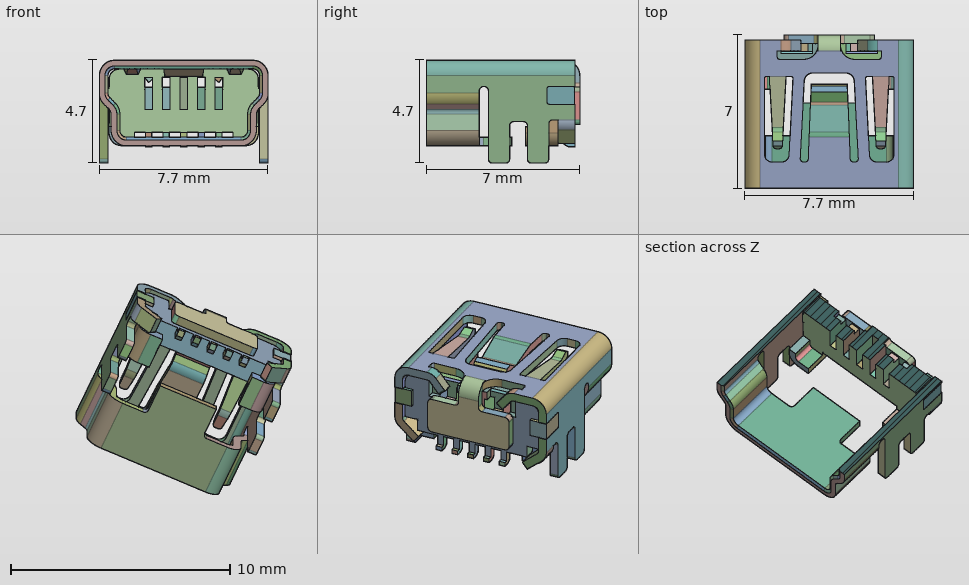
import cadquery as cq
import math

WIDTH = 7.7
HEIGHT = 4.7
SHELL_DEPTH = 6.775
TOTAL_DEPTH = 7.0
SHEET = 0.4

half_width = WIDTH / 2
wall_inner_x = half_width - SHEET
top_inner_z = HEIGHT - SHEET

CORNER_R = 0.7
CORNER_INNER_R = CORNER_R - SHEET
JOG = 0.54
JOG_ANGLE = 45.0
JOG_Z = 2.9
SHELL_BOTTOM = 0.79
MOUTH_DEPTH = 2.41
LIP_CHAMFER_WIDTH = 0.14
LIP_CHAMFER_DEPTH = 0.08

TAIL_HALF_WIDTH = 1.4
TAIL_END = 3.9
BEND_R = 0.185

SIDE_SLOT_WIDTH = 0.41
SIDE_SLOT_TOP = 3.495
LEG_WIDTH = 0.98
LEG_GAP = 0.8
LEG_GAP_TOP = 1.895
WALL_BOTTOM = 1.98
leg_front = MOUTH_DEPTH + SIDE_SLOT_WIDTH
leg_front_end = leg_front + LEG_WIDTH
leg_rear = leg_front_end + LEG_GAP
leg_rear_end = leg_rear + LEG_WIDTH

FOLD_ANGLE = 50.0
FOLD_R = 0.6
EAR_ROOT_X = 2.21
EAR_FRONT = 6.275
EAR_FLAT = 0.715
WALL_FOLD_FRONT = 6.005
WALL_FOLD_FLAT = 0.98
FOLD_CORNER_R = 0.08

NECK_HALF_WIDTH = 0.51
TAB_HALF_WIDTH = 2.06
TAB_TOP = 3.47
TAB_BOTTOM = 1.76
TAB_CORNER_R = 0.215
tab_inner_y = TOTAL_DEPTH - SHEET
RELIEF_HALF_WIDTH = 2.37
RELIEF_FRONT = 5.88
RELIEF_CORNER_R = 0.115
NECK_FLARE_R = 0.66

OPENING_FRONT = 1.2
CENTER_BACK = 5.26
CENTER_CORNER_R = 0.385
CENTER_FRONT_HALF = 1.33
CENTER_BACK_HALF = 1.12
SIDE_OPENING_BACK = 5.1
SIDE_OPENING_OUTER_X = 2.95
SIDE_OPENING_BACK_X = 1.655
SIDE_OPENING_FRONT_X = 1.85
SIDE_OPENING_FRONT_R = 0.355
SIDE_OPENING_BACK_R = 0.06

SPRING_ROOT_HALF = 0.96
SPRING_TIP_HALF = 0.825
SPRING_TIP = 4.75
SLOT_END_R = 0.155
SPRING_BEND_Y = 2.46
SPRING_VALLEY = (3.87, top_inner_z)
SPRING_RIDGE = (4.39, 4.62)
SPRING_TIP_Z = 4.41
SPRING_TIP_BREAK = (4.67, 4.535)
SPRING_ROOT_BEND_R = 0.82
SPRING_VALLEY_BEND_R = 0.17

LATCH_CENTER_X = 2.35
LATCH_ROOT_HALF = 0.385
LATCH_TIP_HALF = 0.21
LATCH_TIP = 1.81
LATCH_TIP_R = 0.155
LATCH_VALLEY = (2.67, 4.42)
LATCH_RIDGE = (2.16, 4.605)
LATCH_TIP_BREAK = (1.925, 4.5)
LATCH_TIP_Z = 4.3
LATCH_BEND_R = 0.48

BODY_HALF_WIDTH = 3.4
BODY_TOP_R = 0.46
BODY_BOTTOM_R = 0.58
BODY_FRONT = 5.5
ARM_FRONT = 4.51
ARM_TOP = 1.67
WINDOW_HALF_WIDTH = 2.24
WINDOW_TOP = 1.41
EAR_POCKET_INNER_X = 0.755
EAR_POCKET_OUTER_X = 2.195
EAR_POCKET_FRONT = 6.25
EAR_POCKET_CHAMFER = 0.09
EAR_POCKET_FLOOR = 3.36
FOLD_POCKET_X = 2.77
LUG_BACK = 6.745
LUG_BOTTOM = 2.69
LUG_TOP = 3.495
LUG_CORNER_R = 0.09
LUG_INSET = 0.01

CONTACT_COUNT = 5
CONTACT_PITCH = 0.8
CONTACT_WIDTH = 0.3
CONTACT_FRONT = 6.275
CONTACT_HEEL = 6.47
CONTACT_HEEL_Z = 0.855
CONTACT_FOOT_BOTTOM = 0.75
CONTACT_FOOT_HEIGHT = 0.2
CONTACT_SLOT_WIDTH = 0.35
CONTACT_SLOT_BOTTOM = 2.45
CONTACT_SLOT_TOP = 3.91


def block(x0, x1, y0, y1, z0, z1):
    return cq.Workplane("XY").box(x1 - x0, y1 - y0, z1 - z0, centered=False).translate((x0, y0, z0))


def section(points, y0, y1):
    """Extrude an XZ outline from y0 to y1."""
    return cq.Workplane("XZ", origin=(0, y0, 0)).polyline(points).close().extrude(y0 - y1)


def profile(points, half_length):
    """Extrude a YZ outline to both sides of X = 0."""
    return cq.Workplane("YZ").polyline(points).close().extrude(half_length, both=True)


def plan(points):
    """Extrude an XY outline through the full height."""
    return cq.Workplane("XY").polyline(points).close().extrude(HEIGHT)


def both_sides(solid):
    return solid.union(solid.mirror("YZ"))


def mouth_section(inset, corner_r, jog_concave_r, y1):
    """Solid of the mouth outline moved inward by the given inset."""
    jog_shift = inset * math.tan(math.radians(JOG_ANGLE / 2))
    upper_x = half_width - inset
    lower_x = upper_x - JOG
    upper_z = JOG_Z + jog_shift
    lower_z = upper_z - JOG
    bottom_z = SHELL_BOTTOM + inset
    right = [
        (upper_x, HEIGHT - inset),
        (upper_x, upper_z),
        (lower_x, lower_z),
        (lower_x, bottom_z),
    ]
    left = [(-x, z) for x, z in reversed(right)]
    solid = section(right + left, 0, y1)
    concave = cq.selectors.BoxSelector(
        (-lower_x - 0.08, -0.08, lower_z - 0.08), (lower_x + 0.08, y1 + 0.08, lower_z + 0.08)
    )
    upper = cq.selectors.BoxSelector((-WIDTH, -0.08, upper_z - 0.08), (WIDTH, y1 + 0.08, HEIGHT + 0.08))
    lowest = cq.selectors.BoxSelector((-WIDTH, -0.08, bottom_z - 0.08), (WIDTH, y1 + 0.08, bottom_z + 0.08))
    solid = solid.edges("|Y").edges(concave).fillet(jog_concave_r)
    solid = solid.edges("|Y").edges(upper).fillet(corner_r)
    return solid.edges("|Y").edges(lowest).fillet(corner_r)


def make_mouth():
    outer = mouth_section(0, CORNER_R, CORNER_INNER_R, MOUTH_DEPTH)
    inner = mouth_section(SHEET, CORNER_INNER_R, CORNER_R, MOUTH_DEPTH)
    mouth = outer.cut(inner)
    lip = mouth.faces("<Y").val().innerWires()[0]
    return mouth.newObject(lip.Edges()).chamfer(LIP_CHAMFER_WIDTH, LIP_CHAMFER_DEPTH)


def make_channel():
    """Top sheet and side walls behind the mouth, with two legs per side."""
    channel = block(-half_width, half_width, MOUTH_DEPTH, SHELL_DEPTH, 0, HEIGHT)
    channel = channel.edges("|Y and >Z").fillet(CORNER_R)
    hollow = block(-wall_inner_x, wall_inner_x, MOUTH_DEPTH, SHELL_DEPTH, 0, top_inner_z)
    hollow = hollow.edges("|Y and >Z").fillet(CORNER_INNER_R)
    side = profile([
        (MOUTH_DEPTH, HEIGHT),
        (SHELL_DEPTH, HEIGHT),
        (SHELL_DEPTH, WALL_BOTTOM),
        (leg_rear_end, WALL_BOTTOM),
        (leg_rear_end, 0),
        (leg_rear, 0),
        (leg_rear, LEG_GAP_TOP),
        (leg_front_end, LEG_GAP_TOP),
        (leg_front_end, 0),
        (leg_front, 0),
        (leg_front, JOG_Z),
        (MOUTH_DEPTH, JOG_Z),
    ], half_width)
    leg_zone = cq.selectors.BoxSelector(
        (-WIDTH, 0, -0.08), (WIDTH, SHELL_DEPTH - 0.08, WALL_BOTTOM + 0.08)
    )
    side = side.edges("|X").edges(leg_zone).fillet(BEND_R)
    return channel.cut(hollow).intersect(side)


def make_side_slot():
    radius = SIDE_SLOT_WIDTH / 2
    end_z = SIDE_SLOT_TOP - radius
    slot = block(-half_width, half_width, MOUTH_DEPTH, leg_front, SHELL_BOTTOM + SHEET, end_z)
    round_end = (
        cq.Workplane("YZ")
        .center(MOUTH_DEPTH + radius, end_z)
        .circle(radius)
        .extrude(half_width, both=True)
    )
    return slot.union(round_end)


def make_floor_tail():
    overlap = SHEET
    tail = block(-TAIL_HALF_WIDTH, TAIL_HALF_WIDTH, MOUTH_DEPTH, TAIL_END,
                 SHELL_BOTTOM, SHELL_BOTTOM + SHEET)
    root = block(-WINDOW_HALF_WIDTH, WINDOW_HALF_WIDTH, MOUTH_DEPTH - overlap, MOUTH_DEPTH,
                 SHELL_BOTTOM, SHELL_BOTTOM + SHEET)
    corners = cq.selectors.BoxSelector(
        (-TAIL_HALF_WIDTH - 0.08, MOUTH_DEPTH - 0.08, 0), (TAIL_HALF_WIDTH + 0.08, MOUTH_DEPTH + 0.08, HEIGHT)
    )
    return tail.union(root).edges("|Z").edges(corners).fillet(BEND_R)


def bend_edges(sheet, corner, top_r, bottom_r):
    """Round both faces of a bent YZ sheet at the given top-face corner."""
    y, z = corner
    reach = 0.19
    upper = cq.selectors.BoxSelector((-WIDTH, y - reach, z - 0.08), (WIDTH, y + reach, z + 0.08))
    lower = cq.selectors.BoxSelector((-WIDTH, y - reach, z - SHEET - 0.08), (WIDTH, y + reach, z - SHEET + 0.08))
    return sheet.edges("|X").edges(upper).fillet(top_r).edges("|X").edges(lower).fillet(bottom_r)


def make_center_opening():
    opening = plan([
        (-CENTER_FRONT_HALF, OPENING_FRONT),
        (-CENTER_BACK_HALF, CENTER_BACK),
        (CENTER_BACK_HALF, CENTER_BACK),
        (CENTER_FRONT_HALF, OPENING_FRONT),
    ])
    opening = opening.edges("|Z and >Y").fillet(CENTER_CORNER_R)
    tongue = plan([
        (-SPRING_ROOT_HALF, OPENING_FRONT),
        (-SPRING_TIP_HALF, SPRING_TIP),
        (SPRING_TIP_HALF, SPRING_TIP),
        (SPRING_ROOT_HALF, OPENING_FRONT),
    ])
    opening = opening.cut(tongue).edges("|Z and <Y").fillet(SLOT_END_R)
    return opening.union(tongue), tongue


def make_spring(tongue):
    root = (SPRING_BEND_Y, HEIGHT)
    top = [
        (OPENING_FRONT, HEIGHT),
        root,
        SPRING_VALLEY,
        SPRING_RIDGE,
        SPRING_TIP_BREAK,
        (SPRING_TIP, SPRING_TIP_Z),
    ]
    bottom = [
        (SPRING_TIP, SPRING_TIP_Z - SHEET),
        (SPRING_RIDGE[0], SPRING_RIDGE[1] - SHEET),
        (SPRING_VALLEY[0], SPRING_VALLEY[1] - SHEET),
        (SPRING_BEND_Y, top_inner_z),
        (OPENING_FRONT, top_inner_z),
    ]
    sheet = profile(top + bottom, half_width)
    sheet = bend_edges(sheet, root, SPRING_ROOT_BEND_R, SPRING_ROOT_BEND_R - SHEET)
    sheet = bend_edges(sheet, SPRING_VALLEY, SPRING_VALLEY_BEND_R, SPRING_VALLEY_BEND_R + SHEET)
    return sheet.intersect(tongue)


def make_side_openings():
    opening = plan([
        (SIDE_OPENING_OUTER_X, OPENING_FRONT),
        (SIDE_OPENING_OUTER_X, SIDE_OPENING_BACK),
        (SIDE_OPENING_BACK_X, SIDE_OPENING_BACK),
        (SIDE_OPENING_FRONT_X, OPENING_FRONT),
    ])
    opening = opening.edges("|Z and <Y").fillet(SIDE_OPENING_FRONT_R)
    opening = opening.edges("|Z and >Y").fillet(SIDE_OPENING_BACK_R)
    return both_sides(opening)


def make_latches():
    outline = plan([
        (LATCH_CENTER_X - LATCH_ROOT_HALF, SIDE_OPENING_BACK),
        (LATCH_CENTER_X + LATCH_ROOT_HALF, SIDE_OPENING_BACK),
        (LATCH_CENTER_X + LATCH_TIP_HALF, LATCH_TIP),
        (LATCH_CENTER_X - LATCH_TIP_HALF, LATCH_TIP),
    ])
    outline = outline.edges("|Z and <Y").fillet(LATCH_TIP_R)
    valley_y, valley_z = LATCH_VALLEY
    bent = profile([
        (SIDE_OPENING_BACK, HEIGHT),
        LATCH_VALLEY,
        LATCH_RIDGE,
        LATCH_TIP_BREAK,
        (LATCH_TIP, LATCH_TIP_Z),
        (valley_y, valley_z - SHEET),
        (SIDE_OPENING_BACK, top_inner_z),
    ], half_width)
    bent = bend_edges(bent, LATCH_VALLEY, LATCH_BEND_R, LATCH_BEND_R + SHEET)
    return both_sides(outline.intersect(bent))


def make_fold(flat, length, rounded_end):
    """Sheet leaving the origin along +X, bending toward -Z, then running flat.

    It extends along +Y; the tip corner at Y = rounded_end is rounded.
    """
    angle = math.radians(FOLD_ANGLE)
    inner_r = FOLD_R - SHEET

    def on_bend(radius, turn):
        return (radius * math.sin(turn), radius * math.cos(turn) - FOLD_R)

    def flat_end(start):
        return (start[0] + flat * math.cos(angle), start[1] - flat * math.sin(angle))

    outer_bend = on_bend(FOLD_R, angle)
    inner_bend = on_bend(inner_r, angle)
    outer_tip = flat_end(outer_bend)
    inner_tip = flat_end(inner_bend)
    fold = (
        cq.Workplane("XZ")
        .moveTo(0, 0)
        .threePointArc(on_bend(FOLD_R, angle / 2), outer_bend)
        .lineTo(*outer_tip)
        .lineTo(*inner_tip)
        .lineTo(*inner_bend)
        .threePointArc(on_bend(inner_r, angle / 2), on_bend(inner_r, 0))
        .close()
        .extrude(-length)
    )
    tip_x = (outer_tip[0] + inner_tip[0]) / 2
    tip_z = (outer_tip[1] + inner_tip[1]) / 2
    tip_edge = cq.selectors.BoxSelector(
        (tip_x - 0.08, rounded_end - 0.08, tip_z - 0.08), (tip_x + 0.08, rounded_end + 0.08, tip_z + 0.08)
    )
    return fold.edges(tip_edge).fillet(FOLD_CORNER_R)


def make_ears():
    length = SHELL_DEPTH - EAR_FRONT
    ear = make_fold(EAR_FLAT, length, length).mirror("YZ")
    return both_sides(ear.translate((EAR_ROOT_X, EAR_FRONT, HEIGHT)))


def make_wall_folds():
    fold = make_fold(WALL_FOLD_FLAT, SHELL_DEPTH - WALL_FOLD_FRONT, 0)
    fold = fold.rotate((0, 0, 0), (0, 1, 0), 90)
    return both_sides(fold.translate((half_width, WALL_FOLD_FRONT, WALL_BOTTOM)))


def make_top_relief():
    """Opening around the neck that frees the ears and the rear tab."""
    front = block(NECK_HALF_WIDTH, RELIEF_HALF_WIDTH, RELIEF_FRONT, EAR_FRONT, top_inner_z, HEIGHT)
    front = front.edges("|Z and <Y and >X").fillet(RELIEF_CORNER_R)
    back_start = RELIEF_FRONT + RELIEF_CORNER_R
    back = block(NECK_HALF_WIDTH, EAR_ROOT_X, back_start, SHELL_DEPTH, top_inner_z, HEIGHT)
    relief = both_sides(front.union(back).edges("|Z and <X and <Y").fillet(NECK_FLARE_R))
    neck_end = block(-NECK_HALF_WIDTH, NECK_HALF_WIDTH, EAR_FRONT, SHELL_DEPTH, top_inner_z, HEIGHT)
    return relief.union(neck_end)


def make_rear_tab():
    bend_r = TOTAL_DEPTH - EAR_FRONT
    bend = block(-half_width, half_width, RELIEF_FRONT, TOTAL_DEPTH, TAB_BOTTOM, HEIGHT)
    bend = bend.edges("|X and >Y and >Z").fillet(bend_r)
    hollow = block(-half_width, half_width, RELIEF_FRONT, tab_inner_y, TAB_BOTTOM, top_inner_z)
    hollow = hollow.edges("|X and >Y and >Z").fillet(bend_r - SHEET)
    plate = block(-TAB_HALF_WIDTH, TAB_HALF_WIDTH, EAR_FRONT, TOTAL_DEPTH, TAB_BOTTOM, TAB_TOP)
    plate = plate.edges("|Y").fillet(TAB_CORNER_R)
    neck = block(-NECK_HALF_WIDTH, NECK_HALF_WIDTH, EAR_FRONT, TOTAL_DEPTH, TAB_TOP, HEIGHT)
    shoulder = cq.selectors.BoxSelector(
        (-NECK_HALF_WIDTH - 0.08, 0, TAB_TOP - 0.08), (NECK_HALF_WIDTH + 0.08, WIDTH, TAB_TOP + 0.08)
    )
    outline = plate.union(neck).edges("|Y").edges(shoulder).fillet(BEND_R)
    return bend.cut(hollow).intersect(outline)


def contact_positions():
    first = -(CONTACT_COUNT - 1) / 2 * CONTACT_PITCH
    return [first + i * CONTACT_PITCH for i in range(CONTACT_COUNT)]


def make_body():
    body = block(-BODY_HALF_WIDTH, BODY_HALF_WIDTH, ARM_FRONT, tab_inner_y, SHELL_BOTTOM, top_inner_z)
    body = body.edges("|Y and >Z").fillet(BODY_TOP_R)
    body = body.edges("|Y and <Z").fillet(BODY_BOTTOM_R)
    body = body.cut(block(-half_width, half_width, ARM_FRONT, BODY_FRONT, ARM_TOP, HEIGHT))
    arm_inner_x = BODY_HALF_WIDTH - SHEET
    between_arms = block(-arm_inner_x, arm_inner_x, ARM_FRONT, BODY_FRONT, SHELL_BOTTOM + SHEET, HEIGHT)
    body = body.cut(between_arms.edges("|Y and <Z").fillet(BODY_BOTTOM_R - SHEET))
    body = body.cut(block(-WINDOW_HALF_WIDTH, WINDOW_HALF_WIDTH, ARM_FRONT, TOTAL_DEPTH, 0, WINDOW_TOP))
    body = body.cut(block(-half_width, half_width, WALL_FOLD_FRONT, TOTAL_DEPTH, 0, WINDOW_TOP))
    fold_pocket = block(FOLD_POCKET_X, half_width, WALL_FOLD_FRONT, TOTAL_DEPTH, 0, WALL_BOTTOM)
    body = body.cut(both_sides(fold_pocket))
    ear_pocket = profile([
        (EAR_POCKET_FRONT - EAR_POCKET_CHAMFER, top_inner_z),
        (EAR_POCKET_FRONT, top_inner_z - EAR_POCKET_CHAMFER),
        (EAR_POCKET_FRONT, EAR_POCKET_FLOOR),
        (tab_inner_y, EAR_POCKET_FLOOR),
        (tab_inner_y, top_inner_z),
    ], EAR_POCKET_OUTER_X)
    center_web = block(-EAR_POCKET_INNER_X, EAR_POCKET_INNER_X, BODY_FRONT, TOTAL_DEPTH, 0, HEIGHT)
    body = body.cut(ear_pocket.cut(center_web))
    half_slot = CONTACT_SLOT_WIDTH / 2
    for x in contact_positions():
        body = body.cut(block(x - half_slot, x + half_slot, BODY_FRONT, tab_inner_y,
                              CONTACT_SLOT_BOTTOM, CONTACT_SLOT_TOP))
    return body


def make_contacts():
    foot_top = CONTACT_FOOT_BOTTOM + CONTACT_FOOT_HEIGHT
    contact = profile([
        (CONTACT_FRONT, WINDOW_TOP),
        (CONTACT_FRONT, CONTACT_HEEL_Z),
        (CONTACT_HEEL, CONTACT_FOOT_BOTTOM),
        (SHELL_DEPTH, CONTACT_FOOT_BOTTOM),
        (SHELL_DEPTH, foot_top),
        (tab_inner_y, foot_top),
        (tab_inner_y, WINDOW_TOP),
    ], CONTACT_WIDTH / 2)
    return [contact.translate((x, 0, 0)) for x in contact_positions()]


def make_lug(x1, y1):
    """Block from inside the body side out to x1, with its front corners rounded."""
    lug = block(BODY_HALF_WIDTH - SHEET, x1, BODY_FRONT, y1, LUG_BOTTOM, LUG_TOP)
    return lug.edges("|X and <Y").fillet(LUG_CORNER_R)


center_opening, spring_outline = make_center_opening()
shell = make_mouth().union(make_channel()).union(make_floor_tail())
shell = shell.cut(make_side_slot())
top_zone = block(-half_width, half_width, 0, SHELL_DEPTH, top_inner_z - SHEET, HEIGHT)
top_openings = center_opening.union(make_side_openings()).intersect(top_zone)
shell = shell.cut(top_openings).cut(make_top_relief())
shell = shell.cut(both_sides(make_lug(half_width, SHELL_DEPTH)))
formed_parts = [
    make_spring(spring_outline),
    make_latches(),
    make_ears(),
    make_wall_folds(),
    make_rear_tab(),
]
for formed in formed_parts:
    shell = shell.union(formed)

body = make_body().union(both_sides(make_lug(half_width - LUG_INSET, LUG_BACK)))
for contact in make_contacts():
    body = body.union(contact)

result = shell.union(body)